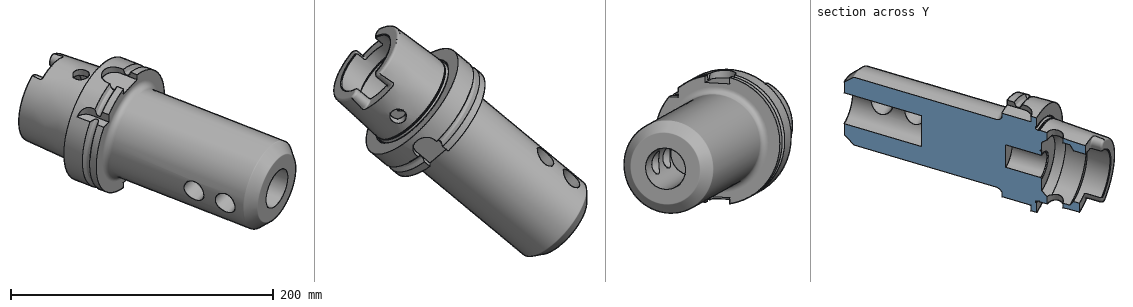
import cadquery as cq
import math

total_length = 210.0
flange_front = 50.0
flange_back = 79.0

gauge_radius = 37.5
gauge_to_flange = 10.0
taper_slope = 0.05
tip_round = 1.9
relief_start = 47.2
relief_floor_start = 48.0
relief_floor_end = 49.0
relief_radius = 37.4
face_relief_inner_radius = 38.5
face_relief_outer_radius = 39.5
face_relief_depth = 1.0

flange_radius = 50.0
groove_start = 66.5
groove_end = 73.0
groove_floor_radius = 46.0
groove_flank_run = 1.7
groove_round = 1.5

body_radius = 36.0
neck_round = 5.0
nose_chamfer = 8.0
nose_edge_round = 1.0

drive_slot_half_width = 9.9
drive_flat_height = 32.1
drive_corner_round = 5.0
drive_floor_round = 1.3
upper_drive_depth = 9.5
lower_drive_depth = 14.5

bore_mouth_radius = 27.0
bore_entry_radius = 26.5
bore_mouth_chamfer = bore_mouth_radius - bore_entry_radius
bore_entry_end = 19.5
clamping_radius = 31.5
clamping_shoulder_angle = 60.0
clamping_end = 39.5
bore_floor_radius = 25.2
bore_depth = clamping_end + clamping_radius - bore_floor_radius
tube_hole_radius = 11.5
tube_hole_chamfer = 0.8
tube_hole_end = 75.5

cross_hole_x = 34.9
cross_hole_radius = 6.3

flange_slot_start = 55.0
flange_slot_width = 2 * drive_slot_half_width
key_slot_corner = 9.7
notch_corner = 8.5
key_slot_floor = 44.0
notch_offset = 31.5

shank_bore_radius = 16.0
shank_bore_depth = 64.0
screw_hole_radius = 8.8
screw_spacing = 28.0
rear_screw_x = 185.6

clearance = 10.5


def taper_radius(x):
    return gauge_radius + taper_slope * (x - (flange_front - gauge_to_flange))


def revolve_about_axis(profile):
    return profile.close().revolve(360, (0, 0, 0), (1, 0, 0))


def make_outer_body():
    """Taper, flange and cylindrical body as one solid of revolution."""
    neck_end = flange_back + neck_round
    neck_centre_radius = body_radius + neck_round
    arc_reach = neck_round * math.sqrt(0.5)
    profile = (
        cq.Workplane("XY")
        .moveTo(0, 0)
        .lineTo(0, taper_radius(0))
        .lineTo(relief_start, taper_radius(relief_start))
        .lineTo(relief_floor_start, relief_radius)
        .lineTo(relief_floor_end, relief_radius)
        .lineTo(flange_front + face_relief_depth, face_relief_inner_radius)
        .lineTo(flange_front + face_relief_depth, face_relief_outer_radius)
        .lineTo(flange_front, face_relief_outer_radius)
        .lineTo(flange_front, flange_radius)
        .lineTo(flange_back, flange_radius)
        .lineTo(flange_back, neck_centre_radius)
        .threePointArc(
            (neck_end - arc_reach, neck_centre_radius - arc_reach),
            (neck_end, body_radius),
        )
        .lineTo(total_length - nose_chamfer, body_radius)
        .lineTo(total_length, body_radius - nose_chamfer)
        .lineTo(total_length, 0)
    )
    body = revolve_about_axis(profile)
    nose_start = total_length - nose_chamfer
    nose_box = cq.selectors.BoxSelector(
        (nose_start - nose_edge_round, -flange_radius, -flange_radius),
        (total_length + nose_edge_round, flange_radius, flange_radius),
    )
    return body.edges("%CIRCLE").edges(nose_box).fillet(nose_edge_round)


def make_gripper_groove():
    """Ring cutter with sloping flanks and a rounded floor."""
    floor_start = groove_start + groove_flank_run
    floor_end = groove_end - groove_flank_run
    ring = revolve_about_axis(
        cq.Workplane("XY")
        .moveTo(groove_start, flange_radius)
        .lineTo(floor_start, groove_floor_radius)
        .lineTo(floor_end, groove_floor_radius)
        .lineTo(groove_end, flange_radius)
        .lineTo(groove_end, flange_radius + clearance)
        .lineTo(groove_start, flange_radius + clearance)
    )
    floor_edges = cq.selectors.RadiusNthSelector(0)
    return ring.edges("%CIRCLE").edges(floor_edges).fillet(groove_round)


def make_drive_slot(depth):
    """Slot cutter for the +Z side: a central channel flaring out to a flat on each side."""
    reach = flange_radius
    shoulder_y = drive_slot_half_width + drive_corner_round
    wall_top = drive_flat_height - drive_corner_round
    arc_y = shoulder_y - drive_corner_round * math.sqrt(0.5)
    arc_z = wall_top + drive_corner_round * math.sqrt(0.5)
    slot = (
        cq.Workplane("YZ", origin=(-clearance, 0, 0))
        .moveTo(-drive_slot_half_width, 0)
        .lineTo(drive_slot_half_width, 0)
        .lineTo(drive_slot_half_width, wall_top)
        .threePointArc((arc_y, arc_z), (shoulder_y, drive_flat_height))
        .lineTo(reach, drive_flat_height)
        .lineTo(reach, reach)
        .lineTo(-reach, reach)
        .lineTo(-reach, drive_flat_height)
        .lineTo(-shoulder_y, drive_flat_height)
        .threePointArc((-arc_y, arc_z), (-drive_slot_half_width, wall_top))
        .close()
        .extrude(depth + clearance)
    )
    return slot.faces(">X").edges().fillet(drive_floor_round)


def make_taper_bore():
    """Bore with a widened clamping chamber and the coolant tube hole in its floor."""
    shoulder_length = (clamping_radius - bore_entry_radius) / math.tan(math.radians(clamping_shoulder_angle))
    return revolve_about_axis(
        cq.Workplane("XY")
        .moveTo(0, 0)
        .lineTo(0, bore_mouth_radius)
        .lineTo(bore_mouth_chamfer, bore_entry_radius)
        .lineTo(bore_entry_end, bore_entry_radius)
        .lineTo(bore_entry_end + shoulder_length, clamping_radius)
        .lineTo(clamping_end, clamping_radius)
        .lineTo(bore_depth, bore_floor_radius)
        .lineTo(bore_depth, tube_hole_radius + tube_hole_chamfer)
        .lineTo(bore_depth + tube_hole_chamfer, tube_hole_radius)
        .lineTo(tube_hole_end, tube_hole_radius)
        .lineTo(tube_hole_end, 0)
    )


def make_flange_slot(centre_y, floor_z, corner):
    """Slot with a rounded blind end, cut down to floor_z and open towards the body."""
    length = flange_back + clearance - flange_slot_start
    slot = cq.Workplane("XY").box(
        length, flange_slot_width, flange_radius, centered=(False, True, False)
    )
    slot = slot.edges("|Z and <X").fillet(corner)
    return slot.translate((flange_slot_start, centre_y, floor_z))


def make_shank_bore():
    bore_start = total_length - shank_bore_depth
    return cq.Workplane("YZ", origin=(bore_start, 0, 0)).circle(shank_bore_radius).extrude(shank_bore_depth)


def make_screw_holes():
    """Clamping screw holes entering from -Y and ending at the axis, inside the shank bore."""
    positions = [(rear_screw_x - screw_spacing, 0), (rear_screw_x, 0)]
    return cq.Workplane("XZ").pushPoints(positions).circle(screw_hole_radius).extrude(flange_radius)


def make_cross_hole():
    return (
        cq.Workplane("XY")
        .center(cross_hole_x, 0)
        .circle(cross_hole_radius)
        .extrude(flange_radius, both=True)
    )


def half_turn(shape):
    return shape.rotate((0, 0, 0), (1, 0, 0), 180)


result = make_outer_body()

result = result.cut(make_drive_slot(upper_drive_depth))
result = result.cut(half_turn(make_drive_slot(lower_drive_depth)))
result = result.faces("<X").edges().fillet(tip_round)

result = result.cut(make_taper_bore())
result = result.cut(make_cross_hole())
result = result.cut(make_shank_bore())
result = result.cut(make_screw_holes())

result = result.cut(make_gripper_groove())
key_slot = make_flange_slot(0, key_slot_floor, key_slot_corner)
notch_centre_y = -notch_offset - flange_slot_width / 2
notch = make_flange_slot(notch_centre_y, notch_offset, notch_corner)
for cutter in (key_slot, half_turn(key_slot), notch):
    result = result.cut(cutter)